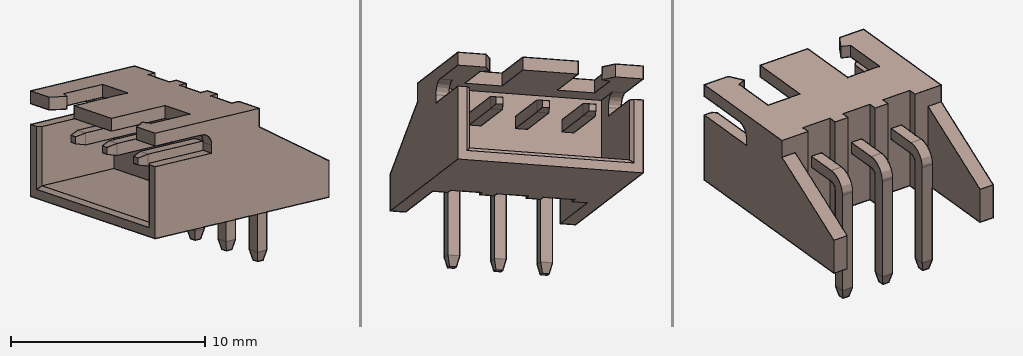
import cadquery as cq


width = 10.0
length = 11.7
height = 5.67
body_length = 7.01
shoulder_height = 4.68
arm_end_height = 1.97
arm_thickness = 0.83

wall = 0.69
roof_thickness = 0.69
cavity_depth = 5.04
mouth_chamfer = 0.2
roof_underside = height - roof_thickness

side_slot_depth = 3.8
side_slot_bottom = 3.87
side_slot_radius = 0.68

window_inner_x = 1.5
window_outer_x = 3.5
window_depth = 3.6
barb_back_y = 1.0
barb_tip_y = 0.8
barb_reach = 0.47

pin_pitch = 2.5
pin_count = 3
pin_size = 0.64
pin_tip_size = 0.37
pin_tip_length = 0.56
pin_axis_height = 3.47
pin_front_y = 0.8
pin_rear_y = 9.34
pin_bottom_z = -3.44
pin_bend_radius = 1.01
pin_positions = [(i - (pin_count - 1) / 2) * pin_pitch for i in range(pin_count)]

notch_width = 1.7
notch_depth = 0.47


def block(x_min, x_max, y_min, y_max, z_min, z_max):
    """Box given by its limits along each axis."""
    size = (x_max - x_min, y_max - y_min, z_max - z_min)
    return cq.Workplane("XY").box(*size, centered=False).translate((x_min, y_min, z_min))


def side_profile_body():
    """Full-width block with sloping rear arms, open between the arms."""
    outline = [
        (0, 0),
        (length, 0),
        (length, arm_end_height),
        (body_length, shoulder_height),
        (body_length, height),
        (0, height),
    ]
    body = cq.Workplane("YZ").polyline(outline).close().extrude(width / 2, both=True)
    gap = width / 2 - arm_thickness
    return body.cut(block(-gap, gap, body_length, length, 0, height))


def cavity():
    """Mating cavity, with the floor and side walls chamfered at its mouth."""
    half = width / 2 - wall
    room = block(-half, half, 0, cavity_depth, wall, roof_underside)
    mouth_half = half + mouth_chamfer
    mouth_bottom = wall - mouth_chamfer
    flare = (
        cq.Workplane("XZ")
        .polyline(rectangle(mouth_half, mouth_bottom, roof_underside))
        .close()
        .workplane(offset=-mouth_chamfer)
        .polyline(rectangle(half, wall, roof_underside))
        .close()
        .loft(ruled=True)
    )
    return room.union(flare)


def rectangle(half_width, bottom, top):
    """Corners of a rectangle centred on X = 0."""
    return [(-half_width, bottom), (half_width, bottom), (half_width, top), (-half_width, top)]


def side_slots():
    """Slot through both side walls, rounded at its upper rear edge."""
    slot = block(-width / 2, width / 2, 0, side_slot_depth, side_slot_bottom, roof_underside)
    return slot.edges("|X and >Y and >Z").fillet(side_slot_radius)


def latch_window():
    """Window on the -X side, open to the front, with a barb on its outer edge."""
    outline = [
        (-window_inner_x, 0),
        (-window_inner_x, window_depth),
        (-window_outer_x, window_depth),
        (-window_outer_x, barb_back_y),
        (-window_outer_x + barb_reach, barb_tip_y),
        (-window_outer_x, 0),
    ]
    return (
        cq.Workplane("XY", origin=(0, 0, roof_underside))
        .polyline(outline)
        .close()
        .extrude(roof_thickness)
    )


def tapered_tip(plane):
    """Pin tip that narrows along the normal of the given plane."""
    return (
        cq.Workplane(plane)
        .rect(pin_size, pin_size)
        .workplane(offset=pin_tip_length)
        .rect(pin_tip_size, pin_tip_size)
        .loft(ruled=True)
    )


def pin():
    """Square pin at X = 0: a horizontal contact bent down into a solder leg."""
    top = pin_axis_height + pin_size / 2
    contact_start = pin_front_y + pin_tip_length
    leg_end = pin_bottom_z + pin_tip_length
    half = pin_size / 2
    contact = block(-half, half, contact_start, pin_rear_y, top - pin_size, top)
    leg = block(-half, half, pin_rear_y - pin_size, pin_rear_y, leg_end, top)
    bent = contact.union(leg)
    bent = bent.edges("|X and >Y and >Z").fillet(pin_bend_radius)
    inner_corner = (0, pin_rear_y - pin_size, top - pin_size)
    bent = bent.edges(cq.NearestToPointSelector(inner_corner)).fillet(pin_bend_radius - pin_size)
    contact_plane = cq.Plane(
        origin=(0, contact_start, pin_axis_height), xDir=(1, 0, 0), normal=(0, -1, 0)
    )
    leg_plane = cq.Plane(
        origin=(0, pin_rear_y - half, leg_end), xDir=(1, 0, 0), normal=(0, 0, -1)
    )
    return bent.union(tapered_tip(contact_plane)).union(tapered_tip(leg_plane))


housing = side_profile_body().cut(cavity()).cut(side_slots())

window = latch_window()
housing = housing.cut(window).cut(window.mirror("YZ"))

for x in pin_positions:
    notch = block(
        x - notch_width / 2, x + notch_width / 2, body_length - notch_depth, body_length, 0, height
    )
    housing = housing.cut(notch)

result = housing
for x in pin_positions:
    result = result.union(pin().translate((x, 0, 0)))